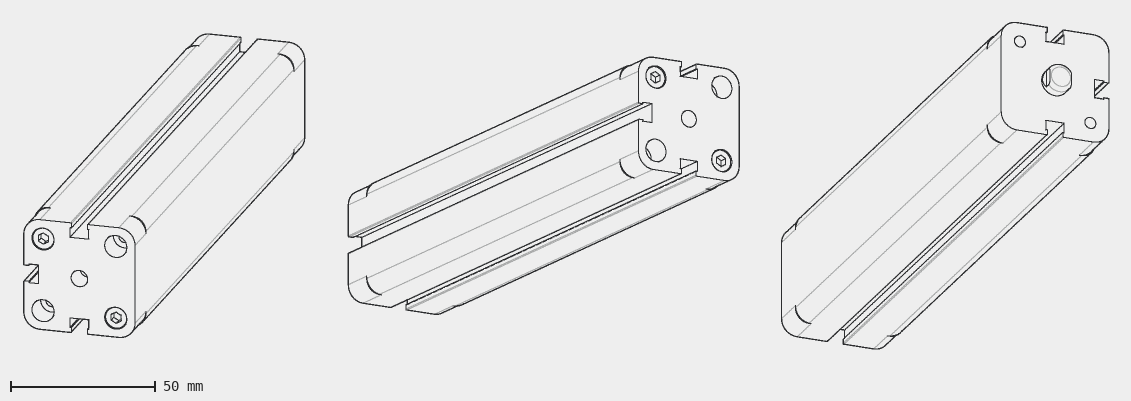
import cadquery as cq

total_length = 205.0
side = 40.2
rod_projection = 5.3
cap_length = 12.7
cap_corner_radius = 5.85
tube_corner_radius = 5.02

slot_mouth_width = 5.7
slot_edge_radius = 0.3
slot_width = 6.8
slot_lip = 1.8
slot_depth = 5.3

corner_offset = 13.1
bore_diameter = 8.0
bore_depth = 10.2
through_diameter = 4.0
screw_head_diameter = 7.5
screw_recess = 0.5
socket_across_corners = 4.0
socket_depth = 3.0

port_diameter = 6.0
port_depth = 10.2

rod_diameter = 10.0
rod_across_flats = 8.0
rod_tip_radius = 1.5
flat_length = 3.5

body_length = total_length - rod_projection
tube_length = body_length - 2 * cap_length
half_side = side / 2
half_rod = rod_diameter / 2
half_flats = rod_across_flats / 2
flat_runout = half_rod - half_flats


def plane_at(y):
    """XZ sketch plane at the given Y; local x is +X, local y is +Z, normal is -Y."""
    return cq.Workplane("XZ", origin=(0, y, 0))


def square_bar(start, length, corner_radius):
    """Bar of the outer section, running toward +Y with rounded long edges."""
    return plane_at(start).rect(side, side).extrude(-length).edges("|Y").fillet(corner_radius)


def sensor_slot(angle):
    """Full-length T slot cut from the +Z side, turned about Y by the angle."""
    half_mouth = slot_mouth_width / 2
    half_opening = half_mouth + slot_edge_radius
    half_channel = slot_width / 2
    edge_bottom = half_side - slot_edge_radius
    lip_bottom = half_side - slot_lip
    floor = half_side - slot_depth
    slot = (
        plane_at(0)
        .moveTo(-half_opening, half_side)
        .radiusArc((-half_mouth, edge_bottom), slot_edge_radius)
        .lineTo(-half_mouth, lip_bottom)
        .lineTo(-half_channel, lip_bottom)
        .lineTo(-half_channel, floor)
        .lineTo(half_channel, floor)
        .lineTo(half_channel, lip_bottom)
        .lineTo(half_mouth, lip_bottom)
        .lineTo(half_mouth, edge_bottom)
        .radiusArc((half_opening, half_side), slot_edge_radius)
        .close()
        .extrude(-body_length)
    )
    return slot.rotate((0, 0, 0), (0, 1, 0), angle)


def corner_screw():
    """Socket head screw that fills its bore up to just below the front face."""
    head = plane_at(screw_recess).circle(screw_head_diameter / 2).extrude(screw_recess - bore_depth)
    socket = plane_at(screw_recess).polygon(6, socket_across_corners).extrude(-socket_depth)
    socket = socket.rotate((0, 0, 0), (0, 1, 0), 90)
    return head.cut(socket)


def piston_rod():
    """Rod end with a rounded tip and a wrench flat on its -X and +X sides."""
    rod = plane_at(body_length).circle(half_rod).extrude(-rod_projection)
    rod = rod.faces(">Y").fillet(rod_tip_radius)
    flat = (
        cq.Workplane("XY")
        .moveTo(half_rod, total_length - flat_length - flat_runout)
        .lineTo(half_flats, total_length - flat_length)
        .lineTo(half_flats, total_length)
        .lineTo(half_rod, total_length)
        .close()
        .extrude(half_rod, both=True)
    )
    return rod.cut(flat).cut(flat.mirror("YZ"))


body = square_bar(0, cap_length, cap_corner_radius)
body = body.union(square_bar(cap_length, tube_length, tube_corner_radius))
body = body.union(square_bar(cap_length + tube_length, cap_length, cap_corner_radius))

for slot_angle in (0, -90, 180):
    body = body.cut(sensor_slot(slot_angle))

screw_corners = [(-corner_offset, corner_offset), (corner_offset, -corner_offset)]
open_corners = [(corner_offset, corner_offset), (-corner_offset, -corner_offset)]
bores = plane_at(0).pushPoints(screw_corners + open_corners).circle(bore_diameter / 2)
body = body.cut(bores.extrude(-bore_depth))
through_holes = plane_at(0).pushPoints(open_corners).circle(through_diameter / 2)
body = body.cut(through_holes.extrude(-body_length))
for x, z in screw_corners:
    body = body.union(corner_screw().translate((x, 0, z)))

body = body.cut(plane_at(0).circle(port_diameter / 2).extrude(-port_depth))

result = body.union(piston_rod())